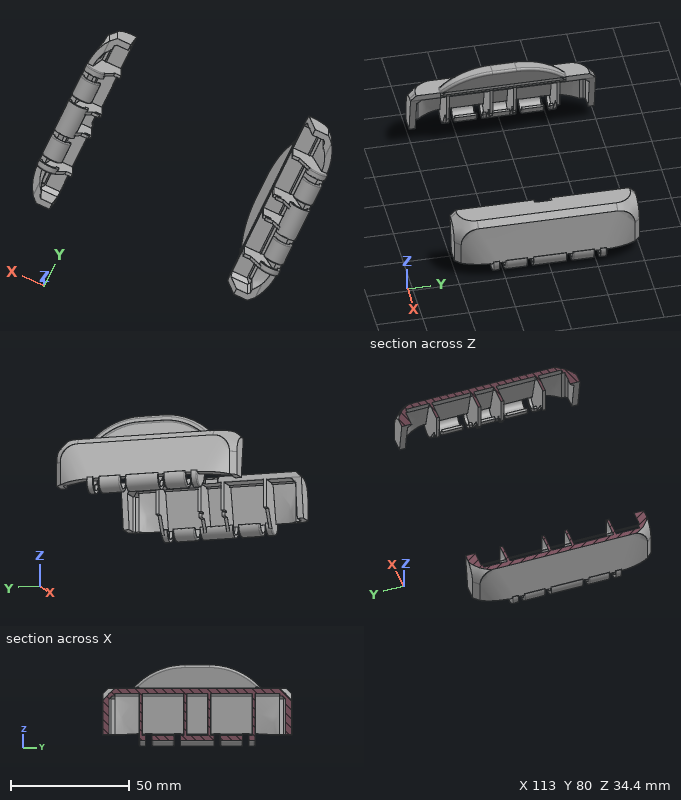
import cadquery as cq
import math

SPAN = 113.0
OUTER_X = 52.0
INNER_X = 40.2
HALF_LENGTH = 40.0
TOP_Z = 24.5
BASE_Z = 4.7
CHAMFER = 2.5
CORNER_RADIUS = 7.5
WALL = 2.7
CEILING_CHAMFER = 2.0
WIDTH = OUTER_X - INNER_X
FACE_TOP_Z = TOP_Z - CHAMFER
FACE_HALF = HALF_LENGTH - CHAMFER

BULGE_DEPTH = 4.4
BULGE_STRAIGHT_HALF = 23.6
BULGE_BOTTOM_RISE = 1.0
END_WALL_SLANT = 2.9

KNUCKLE_RADIUS = 4.6
KNUCKLE_WALL = 1.4
KNUCKLE_X = SPAN / 2 - KNUCKLE_RADIUS
KNUCKLE_Z = KNUCKLE_RADIUS
KNUCKLE_OVERLAP = 1.8
END_KNUCKLE = (21.8, 24.5)
SIDE_KNUCKLE = (9.7, 19.2)
MIDDLE_KNUCKLE_HALF = 7.1
KNUCKLE_ROUND = 0.5

RIB_THICKNESS = 1.4
RIB_BOTTOM_Z = 10.0
RIB_FOOT = 3.0
MIDDLE_RIB_Y = 5.1
HOOK_RADIUS = 1.0
HOOK_X = 42.3
HOOK_Z = 8.5
HOOK_REACH = 3.4

TAB_TOP_Z = 34.4
TAB_FLAT_HALF = 5.2
TAB_FOOT_HALF = 27.1
TAB_ROOT_Z = 22.3
TAB_STEP_Z = 23.3
TAB_FRONT_FOOT_X = 44.2
TAB_FRONT_TOP_X = 42.9
TAB_BACK_FOOT_X = 39.9
TAB_BACK_TOP_X = 36.5
TAB_RIM = 2.6
TAB_PANEL_DEPTH = 0.9
TAB_PANEL_ROUND = 0.6
TAB_FRONT_ROUND = 1.2
TAB_BACK_ROUND = 0.9
TAB_FOOT_ROUND = 0.5

NOTCH_HALF = 2.8
NOTCH_DEPTH = 0.8
NOTCH_BEVEL = 0.9


def box(x_range, y_range, z_range):
    """Box given by the low and high end of its extent along each axis."""
    corners = list(zip(x_range, y_range, z_range))
    size = [high - low for low, high in zip(*corners)]
    return cq.Workplane("XY").box(*size, centered=False).translate(corners[0])


def along_y(outline, y_range):
    """Extrude a closed outline on the XZ plane over a range of Y."""
    return outline.extrude(y_range[0] - y_range[1]).translate((0, y_range[0], 0))


def both_ends(solid):
    """Join a solid to its mirror image at the other end of the cover."""
    return solid.union(solid.mirror("XZ"))


def rounded_corner():
    """Block with an outer corner at +X +Y +Z: three flats rounded by arcs, joined by a smooth patch."""
    reach = CHAMFER + CORNER_RADIUS
    bend = CORNER_RADIUS * math.sqrt(0.5)
    origin = cq.Vector(0, 0, 0)

    def turned(x, y, z, steps):
        """The point with its axes swapped round cyclically."""
        return cq.Vector(*([x, y, z] * 2)[3 - steps:6 - steps])

    def flat_face(*edges):
        return cq.Face.makeFromWires(cq.Wire.assembleEdges(edges))

    rims = []
    faces = []
    for steps in range(3):
        arc_start = turned(CORNER_RADIUS, 0, reach, steps)
        arc_middle = turned(bend, bend, reach, steps)
        arc_end = turned(0, CORNER_RADIUS, reach, steps)
        chamfer_end = turned(0, reach, CORNER_RADIUS, steps)
        face_centre = turned(0, 0, reach, steps)
        side_centre = turned(0, reach, 0, steps)
        arc = cq.Edge.makeThreePointArc(arc_start, arc_middle, arc_end)
        chamfer_side = cq.Edge.makeLine(arc_end, chamfer_end)
        rims += [arc, chamfer_side]
        faces.append(flat_face(
            arc,
            cq.Edge.makeLine(arc_end, face_centre),
            cq.Edge.makeLine(face_centre, arc_start),
        ))
        faces.append(flat_face(
            cq.Edge.makeLine(face_centre, arc_end),
            chamfer_side,
            cq.Edge.makeLine(chamfer_end, side_centre),
            cq.Edge.makeLine(side_centre, origin),
            cq.Edge.makeLine(origin, face_centre),
        ))
    faces.append(cq.Face.makeNSidedSurface(rims, []))
    block = cq.Solid.makeSolid(cq.Shell.makeShell(faces))
    return cq.Workplane(obj=block).translate((OUTER_X - reach, HALF_LENGTH - reach, TOP_Z - reach))


def bulge(inset):
    """Ruled solid that swells from a straight top edge to a bowed bottom edge."""
    outer_x = OUTER_X - inset
    back_x = outer_x - WALL / 2
    half = FACE_HALF - inset
    bow_run = half - BULGE_STRAIGHT_HALF
    bow_radius = (bow_run**2 + BULGE_DEPTH**2) / (2 * BULGE_DEPTH)
    bow_angle = math.asin(bow_run / bow_radius)
    middle_x = outer_x + BULGE_DEPTH - bow_radius * (1 - math.cos(bow_angle / 2))
    middle_y = BULGE_STRAIGHT_HALF + bow_radius * math.sin(bow_angle / 2)
    swollen_x = outer_x + BULGE_DEPTH
    bow_points = [
        (outer_x, -half),
        (middle_x, -middle_y),
        (swollen_x, -BULGE_STRAIGHT_HALF),
        (swollen_x, BULGE_STRAIGHT_HALF),
        (middle_x, middle_y),
        (outer_x, half),
    ]
    bow_slopes = [
        (math.sin(angle), math.cos(angle))
        for angle in (bow_angle, bow_angle / 2, 0, 0, -bow_angle / 2, -bow_angle)
    ]
    top = (
        cq.Workplane("XY", origin=(0, 0, FACE_TOP_Z))
        .moveTo(back_x, -half)
        .lineTo(outer_x, -half)
        .lineTo(outer_x, half)
        .lineTo(back_x, half)
        .close()
    )
    bottom = (
        cq.Workplane("XY", origin=(0, 0, BASE_Z))
        .moveTo(back_x, -half)
        .lineTo(outer_x, -half)
        .spline(bow_points, tangents=bow_slopes)
        .lineTo(back_x, half)
        .close()
    )
    return cq.Workplane(obj=cq.Solid.makeLoft([top.val(), bottom.val()], True))


def outer_form():
    """Solid outside shape of one half: chamfered block with rounded corners and a bulged face."""
    x_range = (INNER_X, OUTER_X)
    block = box(x_range, (-HALF_LENGTH, HALF_LENGTH), (BASE_Z, TOP_Z))
    block = block.edges("(|Z and >X) or (|X and >Z) or (|Y and >X and >Z)").chamfer(CHAMFER)
    reach = CHAMFER + CORNER_RADIUS
    corner_room = box(
        (OUTER_X - reach, OUTER_X), (HALF_LENGTH - reach, HALF_LENGTH), (TOP_Z - reach, TOP_Z)
    )
    block = block.cut(corner_room).cut(corner_room.mirror("XZ")).union(both_ends(rounded_corner()))
    face_outline = (
        box((INNER_X, OUTER_X + 2 * BULGE_DEPTH), (-FACE_HALF, FACE_HALF), (BASE_Z - CHAMFER, FACE_TOP_Z))
        .edges("|X and >Z")
        .fillet(CORNER_RADIUS)
    )
    block = block.union(bulge(0).intersect(face_outline))
    rise = along_y(
        cq.Workplane("XZ").polyline([
            (OUTER_X, BASE_Z),
            (OUTER_X + 2 * BULGE_DEPTH, BASE_Z),
            (OUTER_X + 2 * BULGE_DEPTH, BASE_Z + 2 * BULGE_BOTTOM_RISE),
        ]).close(),
        (-HALF_LENGTH, HALF_LENGTH),
    )
    return block.cut(rise)


def cavity():
    """Hollow of one half, open at the inner side and at the bottom."""
    hollow = box(
        (INNER_X, OUTER_X - WALL), (WALL - HALF_LENGTH, HALF_LENGTH - WALL), (BASE_Z, TOP_Z - WALL)
    )
    hollow = hollow.edges("(|X and >Z) or (|Y and >X and >Z)").chamfer(CEILING_CHAMFER)
    upright_chamfer = CHAMFER - (2 - math.sqrt(2)) * WALL
    hollow = hollow.edges("|Z and >X").chamfer(upright_chamfer)
    return hollow.union(bulge(WALL))


def end_wall_slant():
    """Wedge that leans the inner edges of the two end walls back towards the bottom."""
    return along_y(
        cq.Workplane("XZ").polyline([
            (INNER_X, FACE_TOP_Z),
            (INNER_X + END_WALL_SLANT, BASE_Z),
            (INNER_X, BASE_Z),
        ]).close(),
        (-HALF_LENGTH, HALF_LENGTH),
    )


def knuckle_roll(y_range, rounded_ends):
    """Full roll on the knuckle axis, rounded at the ends that the face selector picks."""
    roll = along_y(
        cq.Workplane("XZ", origin=(KNUCKLE_X, 0, KNUCKLE_Z)).circle(KNUCKLE_RADIUS), y_range
    )
    return roll.faces(rounded_ends).edges().fillet(KNUCKLE_ROUND) if rounded_ends else roll


def knuckle(y_range, rounded_ends=None):
    """Half tube under the outer face, run up into the wall on its outer side."""
    bore = along_y(
        cq.Workplane("XZ", origin=(KNUCKLE_X, 0, KNUCKLE_Z)).circle(KNUCKLE_RADIUS - KNUCKLE_WALL),
        y_range,
    )
    ring = knuckle_roll(y_range, rounded_ends).cut(bore)
    lower = box((KNUCKLE_X - KNUCKLE_RADIUS, KNUCKLE_X + KNUCKLE_RADIUS), y_range, (0, KNUCKLE_Z))
    outer = box(
        (KNUCKLE_X, KNUCKLE_X + KNUCKLE_RADIUS), y_range, (KNUCKLE_Z, KNUCKLE_Z + KNUCKLE_OVERLAP)
    )
    return ring.intersect(lower.union(outer))


def rib(y_centre, rounded_ends=None):
    """Cross rib whose sloping lower edge runs tangent into the round of the knuckle."""
    y_range = (y_centre - RIB_THICKNESS / 2, y_centre + RIB_THICKNESS / 2)
    foot_x = INNER_X + RIB_FOOT
    to_foot_x = foot_x - KNUCKLE_X
    to_foot_z = RIB_BOTTOM_Z - KNUCKLE_Z
    tangent_angle = math.atan2(to_foot_z, to_foot_x) + math.acos(
        KNUCKLE_RADIUS / math.hypot(to_foot_x, to_foot_z)
    )
    tangent_x = KNUCKLE_X + KNUCKLE_RADIUS * math.cos(tangent_angle)
    tangent_z = KNUCKLE_Z + KNUCKLE_RADIUS * math.sin(tangent_angle)
    plate = along_y(
        cq.Workplane("XZ").polyline([
            (INNER_X, FACE_TOP_Z),
            (INNER_X, RIB_BOTTOM_Z),
            (foot_x, RIB_BOTTOM_Z),
            (tangent_x, tangent_z),
            (KNUCKLE_X, KNUCKLE_Z),
            (OUTER_X + BULGE_DEPTH - WALL / 2, KNUCKLE_Z + KNUCKLE_OVERLAP),
            (OUTER_X - WALL / 2, FACE_TOP_Z),
        ]).close(),
        y_range,
    )
    roll_room = box(
        (KNUCKLE_X - KNUCKLE_RADIUS, KNUCKLE_X + KNUCKLE_RADIUS),
        y_range,
        (0, KNUCKLE_Z + KNUCKLE_OVERLAP),
    )
    return plate.union(knuckle_roll(y_range, rounded_ends).intersect(roll_room))


def hook(y_centre):
    """Round-nosed hook below the foot of a middle rib."""
    y_range = (y_centre - RIB_THICKNESS / 2, y_centre + RIB_THICKNESS / 2)
    nose = along_y(cq.Workplane("XZ", origin=(HOOK_X, 0, HOOK_Z)).circle(HOOK_RADIUS), y_range)
    z_range = (HOOK_Z - HOOK_RADIUS, HOOK_Z + HOOK_RADIUS)
    return nose.union(box((HOOK_X, HOOK_X + HOOK_REACH), y_range, z_range))


def cover_half():
    """Parts that both halves share, built on the +X side."""
    half = outer_form().cut(cavity()).cut(end_wall_slant())
    end_rib_y = END_KNUCKLE[1] - RIB_THICKNESS / 2
    half = half.union(both_ends(rib(end_rib_y, ">Y")))
    half = half.union(both_ends(rib(MIDDLE_RIB_Y).union(hook(MIDDLE_RIB_Y))))
    half = half.union(both_ends(knuckle(END_KNUCKLE, ">Y")))
    half = half.union(both_ends(knuckle(SIDE_KNUCKLE, "|Y")))
    return half.union(knuckle((-MIDDLE_KNUCKLE_HALF, MIDDLE_KNUCKLE_HALF)))


def arch(inset):
    """Arch outline of the pull tab, swept through the whole thickness of the half."""
    crown_z = TAB_TOP_Z - inset
    run = TAB_FOOT_HALF - TAB_FLAT_HALF
    rise = TAB_TOP_Z - TOP_Z
    radius = (run**2 + rise**2) / (2 * rise) - inset
    centre_z = crown_z - radius
    foot_y = TAB_FLAT_HALF + math.sqrt(radius**2 - (TAB_ROOT_Z - centre_z) ** 2)
    middle_angle = math.asin((foot_y - TAB_FLAT_HALF) / radius) / 2
    middle_y = TAB_FLAT_HALF + radius * math.sin(middle_angle)
    middle_z = centre_z + radius * math.cos(middle_angle)
    return (
        cq.Workplane("YZ", origin=(INNER_X - WIDTH, 0, 0))
        .moveTo(-foot_y, TAB_ROOT_Z)
        .threePointArc((-middle_y, middle_z), (-TAB_FLAT_HALF, crown_z))
        .lineTo(TAB_FLAT_HALF, crown_z)
        .threePointArc((middle_y, middle_z), (foot_y, TAB_ROOT_Z))
        .close()
        .extrude(2 * WIDTH)
    )


def arch_edge_room(x_middle):
    """Selector for the edges of the tab above the half, close to the front or to the back face."""
    reach_x = (TAB_FRONT_TOP_X - TAB_BACK_TOP_X) / 3
    return cq.selectors.BoxSelector(
        (x_middle - reach_x, -TAB_FOOT_HALF, TOP_Z + TAB_BACK_ROUND),
        (x_middle + reach_x, TAB_FOOT_HALF, TAB_TOP_Z + TAB_BACK_ROUND),
    )


def pull_tab():
    """Leaning arched tab with rounded edges, and a low heel on the open side of the half."""
    y_range = (-HALF_LENGTH, HALF_LENGTH)
    root_share = (TOP_Z - TAB_ROOT_Z) / (TAB_TOP_Z - TOP_Z)
    front_root_x = TAB_FRONT_FOOT_X + root_share * (TAB_FRONT_FOOT_X - TAB_FRONT_TOP_X)
    back_root_x = TAB_BACK_FOOT_X + root_share * (TAB_BACK_FOOT_X - TAB_BACK_TOP_X)
    tab = along_y(
        cq.Workplane("XZ").polyline([
            (back_root_x, TAB_ROOT_Z),
            (TAB_BACK_TOP_X, TAB_TOP_Z),
            (TAB_FRONT_TOP_X, TAB_TOP_Z),
            (front_root_x, TAB_ROOT_Z),
        ]).close(),
        y_range,
    ).intersect(arch(0))
    heel = along_y(
        cq.Workplane("XZ").polyline([
            (INNER_X, TAB_ROOT_Z),
            (TAB_BACK_FOOT_X, TAB_STEP_Z),
            (TAB_BACK_FOOT_X, TOP_Z),
            (back_root_x, TOP_Z),
            (back_root_x, TAB_ROOT_Z),
        ]).close(),
        (-TAB_FOOT_HALF, TAB_FOOT_HALF),
    )
    for x_middle, radius in (
        ((TAB_FRONT_FOOT_X + TAB_FRONT_TOP_X) / 2, TAB_FRONT_ROUND),
        ((TAB_BACK_FOOT_X + TAB_BACK_TOP_X) / 2, TAB_BACK_ROUND),
    ):
        tab = tab.edges(arch_edge_room(x_middle)).fillet(radius)
    return tab.union(heel)


def panel_recess():
    """Room in front of the recessed panel of the tab, with a rounded inner edge."""
    clear_x = TAB_FRONT_FOOT_X + 2 * TAB_FOOT_ROUND
    panel = along_y(
        cq.Workplane("XZ").polyline([
            (TAB_FRONT_FOOT_X - TAB_PANEL_DEPTH, TOP_Z),
            (TAB_FRONT_TOP_X - TAB_PANEL_DEPTH, TAB_TOP_Z),
            (clear_x, TAB_TOP_Z),
            (clear_x, TOP_Z),
        ]).close(),
        (-TAB_FOOT_HALF, TAB_FOOT_HALF),
    )
    return panel.intersect(arch(TAB_RIM)).faces("<X").edges().fillet(TAB_PANEL_ROUND)


def add_pull_tab(half):
    """Join the tab to a half, blend its front foot into the top and sink the panel."""
    foot_room = cq.selectors.BoxSelector(
        (TAB_FRONT_FOOT_X - TAB_RIM, -TAB_FOOT_HALF - TAB_FOOT_ROUND, TOP_Z - TAB_FOOT_ROUND),
        (TAB_FRONT_FOOT_X + TAB_FOOT_ROUND, TAB_FOOT_HALF + TAB_FOOT_ROUND, TOP_Z + TAB_FOOT_ROUND),
    )
    return half.union(pull_tab()).edges(foot_room).fillet(TAB_FOOT_ROUND).cut(panel_recess())


def notch():
    """Shallow notch in the inner top edge, bevelled outwards at the top."""
    straight = box(
        (INNER_X, INNER_X + NOTCH_DEPTH), (-NOTCH_HALF, NOTCH_HALF), (TOP_Z - WALL, TOP_Z)
    )
    deep = NOTCH_DEPTH + NOTCH_BEVEL
    bevel = (
        cq.Workplane("XY", origin=(INNER_X, 0, TOP_Z - NOTCH_BEVEL))
        .rect(2 * NOTCH_DEPTH, 2 * NOTCH_HALF)
        .workplane(offset=NOTCH_BEVEL)
        .rect(2 * deep, 2 * (NOTCH_HALF + NOTCH_BEVEL))
        .loft(ruled=True)
    )
    return straight.union(bevel)


half = cover_half()
tab_cover = add_pull_tab(half).mirror("YZ")
notched_cover = half.cut(notch())

result = cq.Compound.makeCompound([tab_cover.val(), notched_cover.val()])